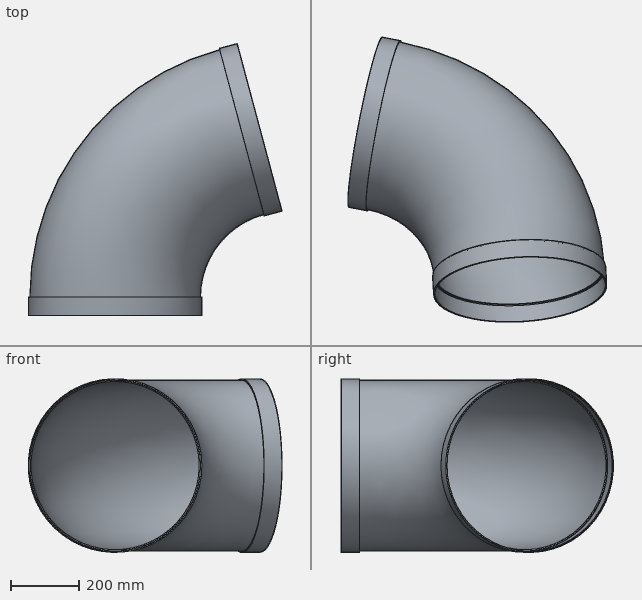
import cadquery as cq

pipe_diameter = 500.0
socket_diameter = 508.0
wall = (socket_diameter - pipe_diameter) / 2
socket_length = 54.0
bend_radius = pipe_diameter
bend_angle = 75

pipe_bore = pipe_diameter - 2 * wall
socket_bore = socket_diameter - 2 * wall
taper_length = wall


def bend(diameter):
    """Solid torus segment that starts at the inner end of the inlet socket."""
    return (
        cq.Workplane("XZ", origin=(0, socket_length, 0))
        .circle(diameter / 2)
        .revolve(bend_angle, (bend_radius, 0, 0), (bend_radius, -1, 0))
    )


def inlet_socket():
    """Straight sleeve whose bore tapers down to the pipe bore at its inner end."""
    half_profile = [
        (socket_bore / 2, 0),
        (socket_diameter / 2, 0),
        (socket_diameter / 2, socket_length),
        (pipe_bore / 2, socket_length),
        (socket_bore / 2, socket_length - taper_length),
    ]
    return cq.Workplane("XY").polyline(half_profile).close().revolve(360, (0, 0, 0), (0, 1, 0))


def to_outlet(inlet_part):
    """Flip an inlet part end for end and swing it around the bend axis."""
    bend_center = (bend_radius, socket_length, 0)
    axis_end = (bend_radius, socket_length, 1)
    flipped = inlet_part.mirror("XZ", bend_center)
    return flipped.rotate(bend_center, axis_end, -bend_angle)


pipe = bend(pipe_diameter).cut(bend(pipe_bore))
socket = inlet_socket()
result = pipe.union(socket).union(to_outlet(socket))